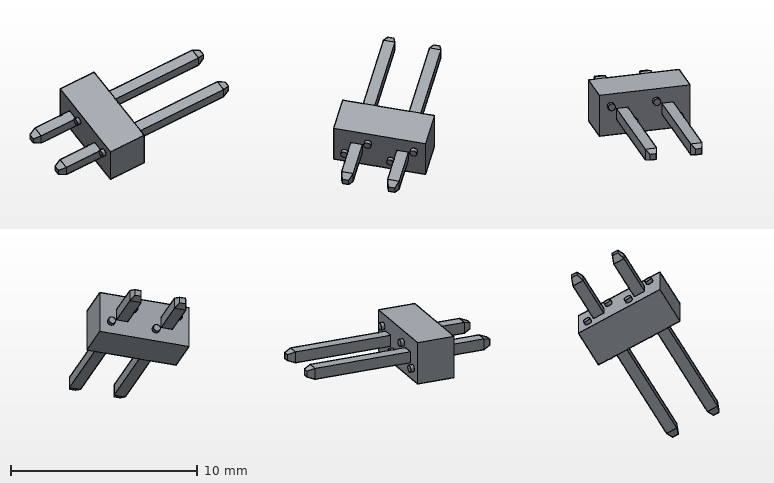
import cadquery as cq


POSITIONS = 2
PITCH = 2.54
TOTAL_LENGTH = 10.8

HOUSING_WIDTH = POSITIONS * PITCH
HOUSING_DEPTH = 2.15
HOUSING_HEIGHT = 2.41
FACE_Y = HOUSING_DEPTH / 2

BUMP_DIAMETER = 0.4
BUMP_HEIGHT = 0.2
BUMP_OFFSET_X = PITCH / 4
BUMP_OFFSET_Z = 0.51

PIN_SIDE = 0.64
TIP_SIDE = 0.35
TIP_LENGTH = 0.41
FRONT_PIN_LENGTH = 2.61
REAR_PIN_LENGTH = TOTAL_LENGTH - HOUSING_DEPTH - FRONT_PIN_LENGTH

FRONT = -1
REAR = 1

pin_positions = [(i - (POSITIONS - 1) / 2) * PITCH for i in range(POSITIONS)]


def face_plane(side, x):
    """Plane on the front or rear housing face at x, with its normal pointing outward."""
    return cq.Plane(origin=(x, side * FACE_Y, 0), xDir=(1, 0, 0), normal=(0, side, 0))


def make_housing():
    """Block with a bump at two opposite corners of every pin, on both pin faces."""
    housing = cq.Workplane("XY").box(HOUSING_WIDTH, HOUSING_DEPTH, HOUSING_HEIGHT)
    bump_centres = [
        (x + corner * BUMP_OFFSET_X, corner * BUMP_OFFSET_Z)
        for x in pin_positions
        for corner in (-1, 1)
    ]
    rods = (
        cq.Workplane("XZ")
        .pushPoints(bump_centres)
        .circle(BUMP_DIAMETER / 2)
        .extrude(FACE_Y + BUMP_HEIGHT, both=True)
    )
    return housing.union(rods)


def make_pin(x, side, length):
    """Square pin standing on one housing face, ending in a truncated pyramid."""
    shank_length = length - TIP_LENGTH
    shank = cq.Workplane(face_plane(side, x)).rect(PIN_SIDE, PIN_SIDE).extrude(shank_length)
    tip = (
        cq.Workplane(face_plane(side, x))
        .workplane(offset=shank_length)
        .rect(PIN_SIDE, PIN_SIDE)
        .workplane(offset=TIP_LENGTH)
        .rect(TIP_SIDE, TIP_SIDE)
        .loft()
    )
    return shank.union(tip)


housing = make_housing()
front_pins = [make_pin(x, FRONT, FRONT_PIN_LENGTH) for x in pin_positions]
rear_pins = [make_pin(x, REAR, REAR_PIN_LENGTH) for x in pin_positions]

result = cq.Compound.makeCompound([housing.val(), *[pin.val() for pin in front_pins + rear_pins]])